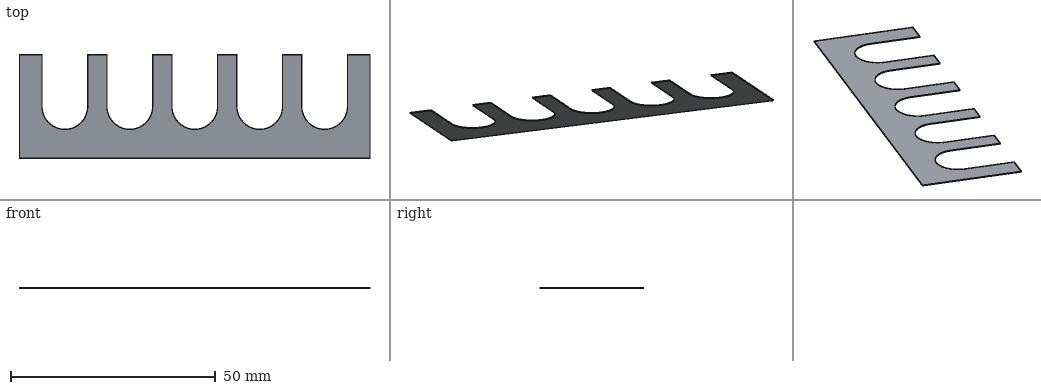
import cadquery as cq

INCH = 25.4
length = 3.375 * INCH
width = 1.0 * INCH
thickness = 0.01 * INCH

slot_count = 5
slot_pitch = 0.625 * INCH
slot_width = 0.4375 * INCH
spine_width = 0.28125 * INCH

slot_radius = slot_width / 2
back_edge_y = width / 2
slot_arc_center_y = -width / 2 + spine_width + slot_radius


def make_plate():
    return cq.Workplane("XY").box(length, width, thickness, centered=(True, True, False))


def make_slot(center_x):
    """Cutter with parallel sides, open at the +Y edge and closed by a half circle."""
    left_x = center_x - slot_radius
    right_x = center_x + slot_radius
    return (
        cq.Workplane("XY")
        .moveTo(left_x, back_edge_y)
        .lineTo(left_x, slot_arc_center_y)
        .threePointArc((center_x, slot_arc_center_y - slot_radius), (right_x, slot_arc_center_y))
        .lineTo(right_x, back_edge_y)
        .close()
        .extrude(thickness)
    )


result = make_plate()
for index in range(slot_count):
    offset_from_middle = index - (slot_count - 1) / 2
    result = result.cut(make_slot(offset_from_middle * slot_pitch))